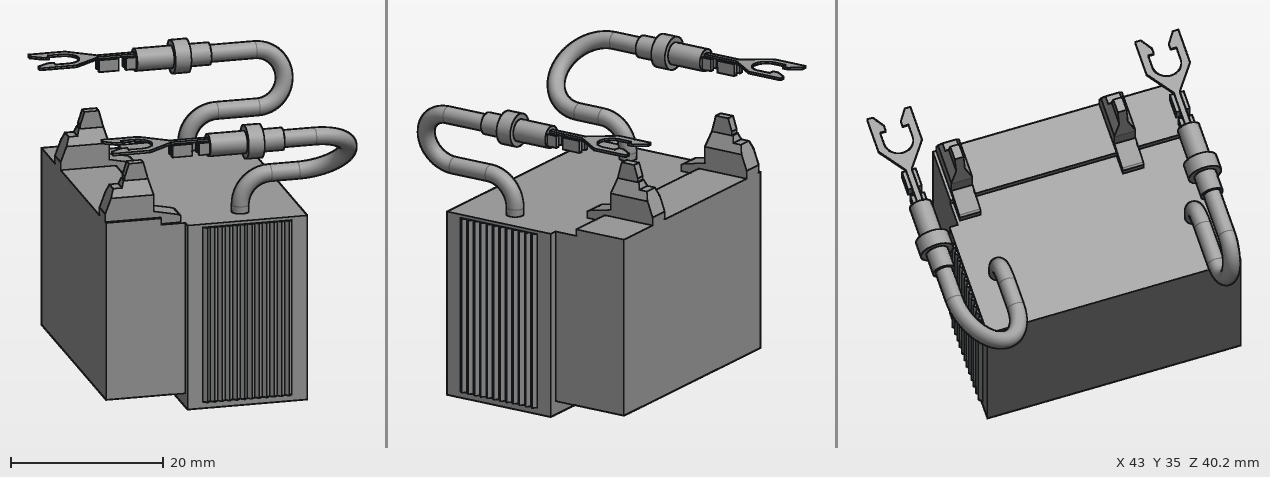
import cadquery as cq
import math


BODY_WIDTH = 35.0
BODY_DEPTH = 16.33
BODY_HEIGHT = 25.5

FRONT_WIDTH = 32.7
FRONT_DEPTH = 10.77
FRONT_BOTTOM = 1.9
FRONT_TOP = 26.4
FRONT_STEP_Y = -3.25

RIB_COUNT = 12
RIB_PITCH = 1.01
RIB_HEIGHT = 0.45
RIB_FIRST_Y = 2.1
RIB_BOTTOM = 0.9
RIB_TOP = 25.05

CLIP_XS = (-8.05, 14.45)
CLIP_WIDTH = 2.9
CLIP_NECK_WIDTH = 1.2
CLIP_SHOULDER_Z = 29.6
CLIP_NECK_Z = 31.6
CLIP_TOP = 33.9
CLIP_LEDGE_Z = 30.75
CLIP_NOTCH_Y = -7.87
CLIP_NOTCH_TOP = 32.15
CLIP_NOTCH_BOTTOM = 31.65
CLIP_NOTCH_LEDGE = 0.17
CLIP_BACK_Y = -4.15
CLIP_FOOT_Y = -0.5
CLIP_FOOT_EDGE_Z = 26.4
CLIP_FOOT_CREST_Y = -0.85
CLIP_FOOT_CREST_Z = 26.6
CLIP_BACK_BOTTOM = 27.3
CLIP_BACK_TOP = 29.5
CLIP_TOP_BACK_Y = -5.35
CLIP_TOP_FRONT_Y = -7.3
CLIP_LEDGE_BACK_Y = -8.35
CLIP_LEDGE_FRONT_Y = -9.55
CLIP_FRONT_TOP = 27.5

CABLE_DIAMETER = 2.3
CABLE_PATHS_X = ((-13.5, -15.0), (13.5, 22.0))
CABLE_EXIT_Y = 8.25
CABLE_ELBOW_RADIUS = 4.0
CABLE_LOWER_Z = 30.5
CABLE_UPPER_Z = 37.95
CABLE_BACK_Y = 22.85

SLEEVE_DIAMETER = 3.0
SLEEVE_BACK_Y = 11.65
SLEEVE_FRONT_Y = 1.55
COLLAR_DIAMETER = 4.5
COLLAR_BACK_Y = 8.7
COLLAR_FRONT_Y = 6.55

SHEET_THICKNESS = 0.3
SHEET_BOTTOM = 38.6
FORK_TIP_Y = -12.14
FORK_SHOULDER_Y = -7.15
FORK_NECK_Y = -3.5
FORK_WIDTH = 6.0
FORK_NECK_WIDTH = 0.8
FORK_SLOT_RADIUS = 1.95
FORK_SLOT_CENTRE_Y = -8.0
FORK_BARB_BACK_Y = -9.75
FORK_BARB_FRONT_Y = -10.55
FORK_MOUTH_WIDTH = 2.3
FORK_TIP_GAP = 4.4
CRIMP_SPANS_Y = ((SLEEVE_FRONT_Y, 0.15), (-0.85, FORK_NECK_Y))
CRIMP_WIDTH = 1.9
CRIMP_GAP = 0.7
CRIMP_BOTTOM = 36.95


def box_between(x0, x1, y0, y1, z0, z1):
    """Axis-aligned box between two opposite corners."""
    return cq.Workplane("XY").box(x1 - x0, y1 - y0, z1 - z0, centered=False).translate((x0, y0, z0))


def make_body():
    """Rear body joined to the front block with its raised front part."""
    half_body = BODY_WIDTH / 2
    half_front = FRONT_WIDTH / 2
    body = box_between(-half_body, half_body, 0, BODY_DEPTH, 0, BODY_HEIGHT)
    front = box_between(-half_front, half_front, -FRONT_DEPTH, 0, FRONT_BOTTOM, BODY_HEIGHT)
    raised = box_between(-half_front, half_front, -FRONT_DEPTH, FRONT_STEP_Y, FRONT_BOTTOM, FRONT_TOP)
    return body.union(front).union(raised)


def make_ribs(side):
    """Row of triangular ribs on one side wall; side is -1 or +1."""
    wall_x = side * BODY_WIDTH / 2
    root_x = wall_x - side * RIB_HEIGHT
    row_end_y = RIB_FIRST_Y + RIB_COUNT * RIB_PITCH
    outline = cq.Workplane("XY", origin=(0, 0, RIB_BOTTOM))
    outline = outline.moveTo(root_x, RIB_FIRST_Y).lineTo(wall_x, RIB_FIRST_Y)
    for index in range(RIB_COUNT):
        start_y = RIB_FIRST_Y + index * RIB_PITCH
        outline = outline.lineTo(wall_x + side * RIB_HEIGHT, start_y + RIB_PITCH / 2)
        outline = outline.lineTo(wall_x, start_y + RIB_PITCH)
    return outline.lineTo(root_x, row_end_y).close().extrude(RIB_TOP - RIB_BOTTOM)


def make_clip(centre_x):
    """Clip with a sloped rear foot, a front notch and ledge, and a head narrowed from both sides."""
    side_outline = [
        (-FRONT_DEPTH, BODY_HEIGHT),
        (CLIP_FOOT_Y, BODY_HEIGHT),
        (CLIP_FOOT_Y, CLIP_FOOT_EDGE_Z),
        (CLIP_FOOT_CREST_Y, CLIP_FOOT_CREST_Z),
        (CLIP_BACK_Y, CLIP_BACK_BOTTOM),
        (CLIP_BACK_Y, CLIP_BACK_TOP),
        (CLIP_TOP_BACK_Y, CLIP_TOP),
        (CLIP_TOP_FRONT_Y, CLIP_TOP),
        (CLIP_NOTCH_Y, CLIP_NOTCH_TOP),
        (CLIP_NOTCH_Y, CLIP_NOTCH_BOTTOM),
        (CLIP_NOTCH_Y - CLIP_NOTCH_LEDGE, CLIP_NOTCH_BOTTOM),
        (CLIP_LEDGE_BACK_Y, CLIP_LEDGE_Z),
        (CLIP_LEDGE_FRONT_Y, CLIP_LEDGE_Z),
        (-FRONT_DEPTH, CLIP_FRONT_TOP),
    ]
    half_width = CLIP_WIDTH / 2
    half_neck = CLIP_NECK_WIDTH / 2
    front_outline = [
        (-half_width, BODY_HEIGHT),
        (half_width, BODY_HEIGHT),
        (half_width, CLIP_SHOULDER_Z),
        (half_neck, CLIP_NECK_Z),
        (half_neck, CLIP_TOP),
        (-half_neck, CLIP_TOP),
        (-half_neck, CLIP_NECK_Z),
        (-half_width, CLIP_SHOULDER_Z),
    ]
    side_shape = cq.Workplane("YZ").polyline(side_outline).close().extrude(half_width, both=True)
    front_shape = cq.Workplane("XZ").polyline(front_outline).close().extrude(FRONT_DEPTH)
    return side_shape.intersect(front_shape).translate((centre_x, 0, 0))


def make_cable(exit_x, end_x):
    """Cable rising from the body, bending backward, then looping forward in an inclined half turn."""
    rise = CABLE_UPPER_Z - CABLE_LOWER_Z
    loop_radius = math.hypot(end_x - exit_x, rise) / 2
    loop_y = CABLE_BACK_Y - CABLE_DIAMETER / 2 - loop_radius
    elbow_z = CABLE_LOWER_Z - CABLE_ELBOW_RADIUS
    elbow_y = CABLE_EXIT_Y + CABLE_ELBOW_RADIUS
    elbow_offset = CABLE_ELBOW_RADIUS * math.sqrt(0.5)

    exit_point = cq.Vector(exit_x, CABLE_EXIT_Y, BODY_HEIGHT)
    elbow_start = cq.Vector(exit_x, CABLE_EXIT_Y, elbow_z)
    elbow_middle = cq.Vector(exit_x, elbow_y - elbow_offset, elbow_z + elbow_offset)
    elbow_end = cq.Vector(exit_x, elbow_y, CABLE_LOWER_Z)
    loop_start = cq.Vector(exit_x, loop_y, CABLE_LOWER_Z)
    loop_middle = cq.Vector((exit_x + end_x) / 2, loop_y + loop_radius, CABLE_LOWER_Z + rise / 2)
    loop_end = cq.Vector(end_x, loop_y, CABLE_UPPER_Z)
    sleeve_point = cq.Vector(end_x, SLEEVE_BACK_Y, CABLE_UPPER_Z)

    path = cq.Wire.assembleEdges([
        cq.Edge.makeLine(exit_point, elbow_start),
        cq.Edge.makeThreePointArc(elbow_start, elbow_middle, elbow_end),
        cq.Edge.makeLine(elbow_end, loop_start),
        cq.Edge.makeThreePointArc(loop_start, loop_middle, loop_end),
        cq.Edge.makeLine(loop_end, sleeve_point),
    ])
    section = cq.Workplane("XY", origin=exit_point.toTuple()).circle(CABLE_DIAMETER / 2)
    return section.sweep(path)


def make_sleeve(end_x):
    """Sleeve on the cable end with a wider collar."""
    def cylinder(diameter, back_y, front_y):
        plane = cq.Workplane("XZ", origin=(end_x, back_y, CABLE_UPPER_Z))
        return plane.circle(diameter / 2).extrude(back_y - front_y)

    sleeve = cylinder(SLEEVE_DIAMETER, SLEEVE_BACK_Y, SLEEVE_FRONT_Y)
    return sleeve.union(cylinder(COLLAR_DIAMETER, COLLAR_BACK_Y, COLLAR_FRONT_Y))


def make_terminal(end_x):
    """Fork terminal: sheet with a snap-in slot and two pairs of crimp walls hanging below it."""
    half_fork = FORK_WIDTH / 2
    half_neck = FORK_NECK_WIDTH / 2
    half_mouth = FORK_MOUTH_WIDTH / 2
    half_gap = FORK_TIP_GAP / 2
    slot_crown_y = FORK_SLOT_CENTRE_Y + FORK_SLOT_RADIUS
    sheet = (
        cq.Workplane("XY", origin=(0, 0, SHEET_BOTTOM))
        .moveTo(half_neck, SLEEVE_FRONT_Y)
        .lineTo(half_neck, FORK_NECK_Y)
        .lineTo(half_fork, FORK_SHOULDER_Y)
        .lineTo(half_fork, FORK_TIP_Y)
        .lineTo(half_gap, FORK_TIP_Y)
        .lineTo(half_mouth, FORK_BARB_FRONT_Y)
        .lineTo(half_mouth, FORK_BARB_BACK_Y)
        .lineTo(FORK_SLOT_RADIUS, FORK_BARB_BACK_Y)
        .lineTo(FORK_SLOT_RADIUS, FORK_SLOT_CENTRE_Y)
        .threePointArc((0, slot_crown_y), (-FORK_SLOT_RADIUS, FORK_SLOT_CENTRE_Y))
        .lineTo(-FORK_SLOT_RADIUS, FORK_BARB_BACK_Y)
        .lineTo(-half_mouth, FORK_BARB_BACK_Y)
        .lineTo(-half_mouth, FORK_BARB_FRONT_Y)
        .lineTo(-half_gap, FORK_TIP_Y)
        .lineTo(-half_fork, FORK_TIP_Y)
        .lineTo(-half_fork, FORK_SHOULDER_Y)
        .lineTo(-half_neck, FORK_NECK_Y)
        .lineTo(-half_neck, SLEEVE_FRONT_Y)
        .close()
        .extrude(SHEET_THICKNESS)
    )
    inner = CRIMP_GAP / 2
    outer = CRIMP_WIDTH / 2
    for back_y, front_y in CRIMP_SPANS_Y:
        sheet = sheet.union(box_between(inner, outer, front_y, back_y, CRIMP_BOTTOM, SHEET_BOTTOM))
        sheet = sheet.union(box_between(-outer, -inner, front_y, back_y, CRIMP_BOTTOM, SHEET_BOTTOM))
    return sheet.translate((end_x, 0, 0))


result = make_body()
for wall_side in (-1, 1):
    result = result.union(make_ribs(wall_side))
for clip_x in CLIP_XS:
    result = result.union(make_clip(clip_x))
for cable_exit_x, cable_end_x in CABLE_PATHS_X:
    result = result.union(make_cable(cable_exit_x, cable_end_x))
    result = result.union(make_sleeve(cable_end_x))
    result = result.union(make_terminal(cable_end_x))